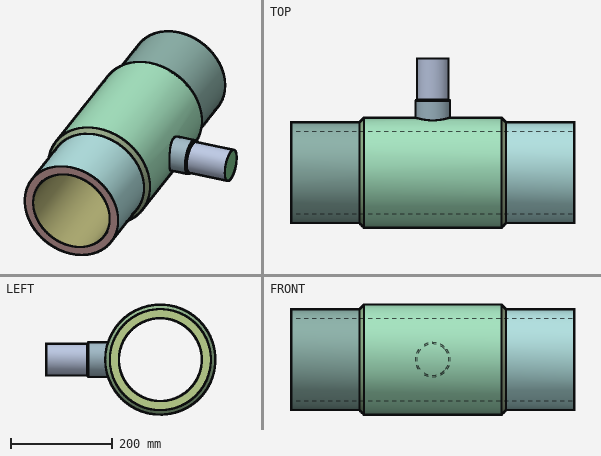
import cadquery as cq

pipe_length = 560.0
pipe_diameter = 200.0
pipe_wall = 18.2
bore_diameter = pipe_diameter - 2 * pipe_wall

sleeve_length = 290.0
sleeve_diameter = pipe_diameter + pipe_wall
sleeve_bevel = (sleeve_diameter - pipe_diameter) / 2

branch_reach = 226.0
branch_diameter = 63.0
collar_reach = 145.0
collar_diameter = 68.8
collar_bevel = (collar_diameter - branch_diameter) / 2


def rod_along_x(diameter, length):
    """Solid rod centred on the origin with its axis along X."""
    return cq.Workplane("YZ").circle(diameter / 2).extrude(length / 2, both=True)


def rod_along_y(diameter, reach):
    """Solid rod from the pipe axis out to y = reach."""
    return cq.Workplane("XZ").circle(diameter / 2).extrude(-reach)


def make_run():
    """Main pipe with its bevelled sleeve, before boring."""
    sleeve = rod_along_x(sleeve_diameter, sleeve_length).edges().chamfer(sleeve_bevel)
    return rod_along_x(pipe_diameter, pipe_length).union(sleeve)


def make_branch():
    """Branch pipe with its bevelled collar."""
    collar = rod_along_y(collar_diameter, collar_reach).faces(">Y").chamfer(collar_bevel)
    return rod_along_y(branch_diameter, branch_reach).union(collar)


bore = rod_along_x(bore_diameter, pipe_length)
result = make_run().union(make_branch()).cut(bore)